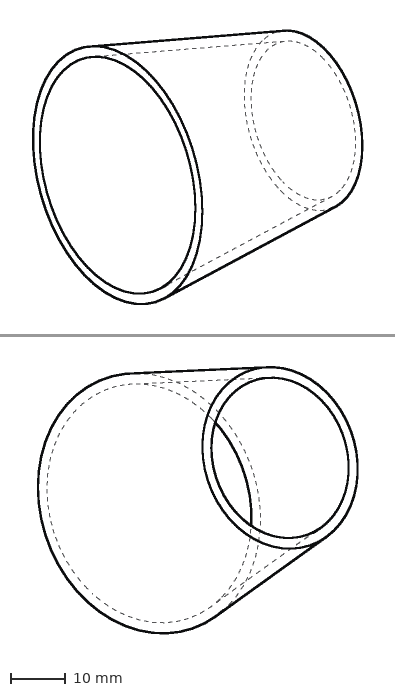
import cadquery as cq

length = 44.0
wide_diameter = 48.3
narrow_diameter = 33.7
wall = 2.0

wide_radius = wide_diameter / 2
narrow_radius = narrow_diameter / 2

wall_section = (
    cq.Workplane("XY")
    .moveTo(wide_radius - wall, 0)
    .lineTo(wide_radius, 0)
    .lineTo(narrow_radius, length)
    .lineTo(narrow_radius - wall, length)
    .close()
)

result = wall_section.revolve(360, (0, 0, 0), (0, 1, 0))